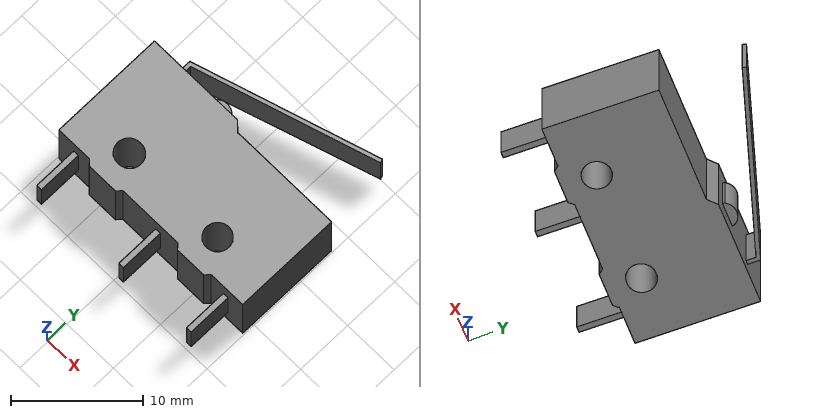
import cadquery as cq
import math

housing_length = 19.75
housing_thickness = 6.4
housing_height = 10.15
step_height = 9.45
step_start_x = 8.92
step_end_x = 9.65

hole_diameter = 2.35
slot_length = 2.48
hole_y = 2.45
slot_x = 5.08
hole_pitch = 9.48
hole_x = slot_x + hole_pitch
foot_base_length = 3.55
foot_tip_length = 2.85
foot_height = 0.42

terminal_centres_x = [1.85, 10.65, 17.92]
terminal_thickness = 0.5
terminal_width = 3.25
terminal_length = 3.92

button_x = 7.05
button_width = 2.05
button_side_height = 0.18
button_height = 0.75
button_depth = terminal_width

lever_x = 2.75
lever_thickness = 0.35
lever_bend_y = 11.2
lever_tip_x = 18.52
lever_tip_y = 20.0 - terminal_length
lever_base_width = 4.08
lever_tip_width = 3.65


def make_block():
    """Housing block with its stepped upper side."""
    return (
        cq.Workplane("XY")
        .moveTo(0, 0)
        .lineTo(housing_length, 0)
        .lineTo(housing_length, step_height)
        .lineTo(step_end_x, step_height)
        .lineTo(step_start_x, housing_height)
        .lineTo(0, housing_height)
        .close()
        .extrude(housing_thickness / 2, both=True)
    )


def make_foot(centre_x):
    """Full-thickness foot with sloped flanks."""
    return (
        cq.Workplane("XY")
        .moveTo(centre_x - foot_base_length / 2, 0)
        .lineTo(centre_x - foot_tip_length / 2, -foot_height)
        .lineTo(centre_x + foot_tip_length / 2, -foot_height)
        .lineTo(centre_x + foot_base_length / 2, 0)
        .close()
        .extrude(housing_thickness / 2, both=True)
    )


def make_terminal(centre_x):
    """Flat blade below the housing."""
    return (
        cq.Workplane("XY")
        .center(centre_x, -terminal_length / 2)
        .box(terminal_thickness, terminal_length, terminal_width)
    )


def make_button():
    """Button with short straight sides and an arched top."""
    left_x = button_x - button_width / 2
    right_x = button_x + button_width / 2
    shoulder_y = housing_height + button_side_height
    return (
        cq.Workplane("XY")
        .moveTo(left_x, housing_height)
        .lineTo(right_x, housing_height)
        .lineTo(right_x, shoulder_y)
        .threePointArc((button_x, housing_height + button_height), (left_x, shoulder_y))
        .close()
        .extrude(button_depth / 2, both=True)
    )


def make_mounting_holes():
    """Cutters for the elongated hole and the round hole, both right through."""
    slot = cq.Workplane("XY").center(slot_x, hole_y).slot2D(slot_length, hole_diameter)
    round_hole = cq.Workplane("XY").center(hole_x, hole_y).circle(hole_diameter / 2)
    slot_cutter = slot.extrude(housing_thickness, both=True)
    return slot_cutter.union(round_hole.extrude(housing_thickness, both=True))


def make_housing():
    """Housing in one piece with its feet, terminals and button."""
    body = make_block()
    for foot_x in (slot_x, hole_x):
        body = body.union(make_foot(foot_x))
    for terminal_x in terminal_centres_x:
        body = body.union(make_terminal(terminal_x))
    return body.union(make_button()).cut(make_mounting_holes())


def make_lever():
    """Bent strip of constant thickness whose width narrows evenly towards the tip."""
    slope = math.atan2(lever_tip_y - lever_bend_y, lever_tip_x - lever_x)
    inner_x = lever_x + lever_thickness
    inner_bend_y = lever_bend_y + lever_thickness * (math.tan(slope) - 1 / math.cos(slope))
    end_x = lever_tip_x + lever_thickness * math.sin(slope)
    strip = (
        cq.Workplane("XY")
        .moveTo(lever_x, housing_height)
        .lineTo(lever_x, lever_bend_y)
        .lineTo(lever_tip_x, lever_tip_y)
        .lineTo(end_x, lever_tip_y - lever_thickness * math.cos(slope))
        .lineTo(inner_x, inner_bend_y)
        .lineTo(inner_x, housing_height)
        .close()
        .extrude(lever_base_width / 2, both=True)
    )
    width_outline = (
        cq.Workplane("XZ")
        .moveTo(lever_x, -lever_base_width / 2)
        .lineTo(end_x, -lever_tip_width / 2)
        .lineTo(end_x, lever_tip_width / 2)
        .lineTo(lever_x, lever_base_width / 2)
        .close()
        .extrude(-lever_tip_y)
    )
    return strip.intersect(width_outline)


housing = make_housing()
lever = make_lever()

result = cq.Compound.makeCompound([housing.solids().val(), lever.solids().val()])